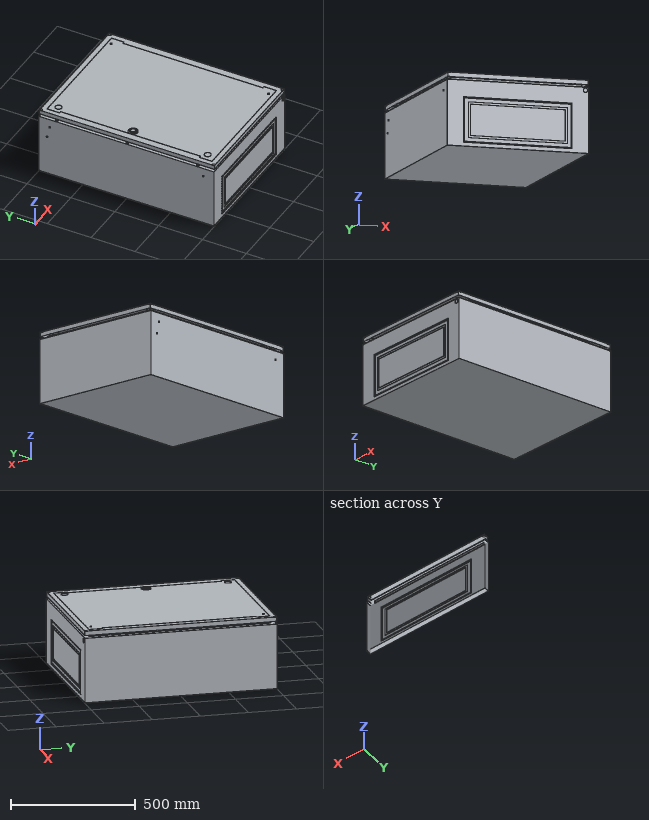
import cadquery as cq

width = 600.0
length = 800.0
total_height = 304.1
sheet = 1.5

body_height = 271.5
gutter_width = 22.0
collar_top = 283.0

stop_diameter = 12.0
stop_height = 3.0
stop_x = -width / 2 + 11.0
stop_pitch = 321.0

wall_hole_diameter = 6.5
wall_holes = [(350.0, 233.0), (-350.0, 233.0), (362.0, 182.0)]

button_diameter = 18.0
button_height = 2.0
button_x = 285.0
button_z = 258.0

entry_width = 456.0
entry_height = 183.0
entry_z = 110.0
entry_depth = 2.5
opening_inset = 18.5

plate_margin = 15.0
panel_inset = 27.5
panel_height = 2.5

door_width = width - 6.0
door_length = length
door_bottom = 281.5
door_top = 300.5
door_sheet = 1.2
corner_pad = 12.0
corner_pad_radius = 4.0

stiffener_thickness = 1.2
stiffener_width = 546.0
stiffener_waist = 528.0
stiffener_length = 752.0
stiffener_waist_length = 638.0

lock_x = -242.5
lock_pitch = 340.0
lock_opening_diameter = 28.0
hinge_hole_x = 238.0
hinge_hole_y = 359.0
hinge_hole_diameter = 7.5

head_diameter = 31.0
head_top_diameter = 27.0
key_recess_diameter = 22.0
key_recess_depth = 2.0
nut_diameter = 41.0
nut_thickness = 5.0


def block(size_x, size_y, bottom, top):
    """Box centred on the Z axis, between two heights."""
    return cq.Workplane("XY").workplane(offset=bottom).rect(size_x, size_y).extrude(top - bottom)


def cylinder(x, y, diameter, bottom, top):
    """Upright cylinder between two heights."""
    plane = cq.Workplane("XY", origin=(x, y, bottom))
    return plane.circle(diameter / 2).extrude(top - bottom)


def entry_block(inset, start, end):
    """Box on the cable entry's centre; start and end are depths inward from the -Y face."""
    plane = cq.Workplane("XZ", origin=(0, -length / 2 + end, entry_z))
    return plane.rect(entry_width - 2 * inset, entry_height - 2 * inset).extrude(end - start)


def entry_recess():
    """Sunken frame of the cable entry, its sides sloping inward at 45 degrees."""
    plane = cq.Workplane("XZ", origin=(0, -length / 2, entry_z))
    mouth = plane.rect(entry_width, entry_height).workplane(offset=-entry_depth)
    floor = mouth.rect(entry_width - 2 * entry_depth, entry_height - 2 * entry_depth)
    return floor.loft(ruled=True)


def make_housing():
    housing = block(width, length, 0, body_height)
    housing = housing.cut(block(width - 2 * sheet, length - 2 * sheet, sheet, body_height - sheet))

    collar_width = width - 2 * gutter_width
    collar_length = length - 2 * gutter_width
    housing = housing.union(block(collar_width, collar_length, body_height - sheet, collar_top))
    mouth = block(collar_width - 2 * sheet, collar_length - 2 * sheet, body_height - sheet, collar_top)
    housing = housing.cut(mouth)

    housing = housing.union(entry_block(-sheet, 0, entry_depth + sheet))
    housing = housing.cut(entry_recess())
    housing = housing.cut(entry_block(opening_inset, 0, entry_depth + sheet))

    for y in (-stop_pitch, 0, stop_pitch):
        housing = housing.union(cylinder(stop_x, y, stop_diameter, body_height, body_height + stop_height))

    for y, z in wall_holes:
        plane = cq.Workplane("YZ", origin=(-width / 2, y, z))
        housing = housing.cut(plane.circle(wall_hole_diameter / 2).extrude(sheet))

    button = cq.Workplane("XZ", origin=(button_x, -length / 2, button_z))
    return housing.union(button.circle(button_diameter / 2).extrude(button_height))


def make_gland_plate():
    front = entry_depth + sheet
    plate = entry_block(opening_inset - plate_margin, front, front + sheet)
    return plate.union(entry_block(panel_inset, front - panel_height, front))


def make_door():
    door = block(door_width, door_length, door_bottom, door_top)
    skin_bottom = door_top - door_sheet
    inner_width = door_width - 2 * sheet
    inner_length = door_length - 2 * sheet
    cavity = block(inner_width, inner_length, door_bottom, skin_bottom)
    door = door.cut(cavity)
    stiffener_bottom = skin_bottom - stiffener_thickness

    stiffener = block(stiffener_waist, stiffener_length, stiffener_bottom, skin_bottom)
    ends = block(stiffener_width, stiffener_length, stiffener_bottom, skin_bottom)
    ends = ends.cut(block(stiffener_width, stiffener_waist_length, stiffener_bottom, skin_bottom))
    door = door.union(stiffener.union(ends))

    for y in (-lock_pitch, 0, lock_pitch):
        door = door.cut(cylinder(lock_x, y, lock_opening_diameter, skin_bottom, door_top))
    door = door.cut(cylinder(lock_x, 0, nut_diameter, stiffener_bottom, skin_bottom))

    for y in (-hinge_hole_y, hinge_hole_y):
        door = door.cut(cylinder(hinge_hole_x, y, hinge_hole_diameter, stiffener_bottom, door_top))

    pad_x = (door_width - corner_pad) / 2
    pad_y = (door_length - corner_pad) / 2
    for side_x in (-1, 1):
        for side_y in (-1, 1):
            pad = block(corner_pad, corner_pad, stiffener_bottom, skin_bottom)
            free_corner = cq.selectors.NearestToPointSelector(
                (-side_x * corner_pad, -side_y * corner_pad, skin_bottom - stiffener_thickness / 2)
            )
            pad = pad.edges("|Z").edges(free_corner).fillet(corner_pad_radius)
            door = door.union(pad.translate((side_x * pad_x, side_y * pad_y, 0)))
    return door


def make_lock():
    skin_bottom = door_top - door_sheet
    lock = cylinder(lock_x, 0, lock_opening_diameter, skin_bottom, door_top)
    lock = lock.union(cylinder(lock_x, 0, nut_diameter, skin_bottom - nut_thickness, skin_bottom))
    head = cylinder(lock_x, 0, head_diameter, door_top, total_height)
    head = head.faces(">Z").chamfer((head_diameter - head_top_diameter) / 2)
    recess = cylinder(lock_x, 0, key_recess_diameter, total_height - key_recess_depth, total_height)
    return lock.union(head).cut(recess)


housing = make_housing()
gland_plate = make_gland_plate()
door = make_door()
lock = make_lock()

result = cq.Compound.makeCompound([housing.val(), gland_plate.val(), door.val(), lock.val()])